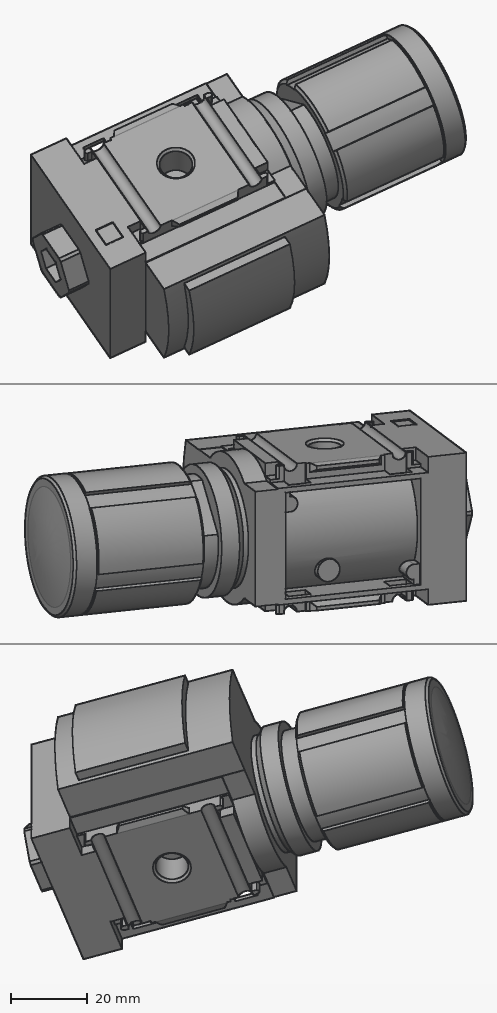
import cadquery as cq
import math


TOTAL_LENGTH = 115.5
PLUG_LENGTH = 5.9
PLATE_BACK = 16.5
FRAME_BACK = 58.3
FLANGE_BACK = 64.6
COLLAR_CONE_START = 66.0
COLLAR_START = 67.7
COLLAR_END = 72.6
KNOB_START = 77.5
CAP_START = 107.6
CAP_END = 114.1
FRAME_MID = (PLATE_BACK + FRAME_BACK) / 2

TOTAL_WIDTH = 57.0
BOX_WIDTH = 41.9
BOX_HEIGHT = 40.2
FRAME_HEIGHT = 31.6
FLANGE_HEIGHT = 31.2
HALF_WIDTH = BOX_WIDTH / 2
HALF_HEIGHT = BOX_HEIGHT / 2

PLUG_FLATS = 17.1
PLUG_CORNER_DIAMETER = 19.2
SOCKET_FLATS = 8.9
SOCKET_DEPTH = 8.1

BLOCK_WIDTH = 30.7
TAB_WIDTH = 23.1
WEB_OFFSET = 17.2
POCKET_FLOOR = 16.6
POST_WIDTH = 1.4
POST_LENGTH = 1.8
POST_CHAMFER = 0.6
GROOVE_RADIUS = 1.8
GROOVE_OFFSET = 15.1
PORT_DIAMETER = 8.5
PORT_CHAMFER = 0.7
PORT_DEPTH = 9.2

LIP_REACH = 1.8
LIP_ROOT_LENGTH = 19.9
LIP_TIP_LENGTH = 17.3
LIP_ROOT_DROP = 2.5
LIP_TIP_TOP_DROP = 0.5
LIP_TIP_BOTTOM_DROP = 1.5

WINDOW_LENGTH = 37.5
WINDOW_HEIGHT = 28.9
BOWL_RADIUS = 18.7
BUTTON_DIAMETER = 6.1
BUTTON_Y = 43.3
BUTTON_Z = -8.5
BOSS_RADIUS = 2.1
BOSS_OFFSET_Y = 17.2
BOSS_OFFSET_Z = 11.0
BOSS_FACE = -20.2

SLOT_OUTER = -18.8
SLOT_INNER = -14.8
SLOT_FAR_END = 17.1
SLOT_NEAR_END = 11.0

LABEL_X = 11.0
LABEL_Y = 11.3
LABEL_WIDTH = 5.4
LABEL_LENGTH = 5.1
LABEL_DEPTH = 0.3

GAUGE_HEIGHT = 31.0
GAUGE_EDGE = 30.6
GAUGE_CROWN = 33.1
COVER_LENGTH = 30.1
COVER_HEIGHT = 28.9
COVER_EDGE = 33.6
COVER_CROWN = TOTAL_WIDTH - HALF_WIDTH

NECK_RADIUS = 15.0
NECK_FLAT_DISTANCE = 12.6
NECK_FLAT_TURN = 45.0
COLLAR_DIAMETER = 35.0
COLLAR_RADIUS = COLLAR_DIAMETER / 2
THROAT_RADIUS = 15.8

KNOB_RADIUS = 18.6
GRIP_CHAMFER = 0.7
GRIP_CHAMFER_DEPTH = 0.9
CAP_CHAMFER = 0.7
CAP_UNDERCUT = 0.2
CAP_UNDERCUT_HEIGHT = 0.5
DOME_RADIUS = 15.8
GROOVE_COUNT = 5
KNOB_GROOVE_WIDTH = 5.2
KNOB_GROOVE_DEPTH = 1.3
FIRST_GROOVE_ANGLE = 36.0


def box_between(x0, x1, y0, y1, z0, z1):
    """Axis-aligned block given by its limits."""
    return cq.Workplane("XY").box(x1 - x0, y1 - y0, z1 - z0, centered=False).translate((x0, y0, z0))


def bar(width, height, y0, y1):
    """Rectangular bar centred on the axis."""
    return box_between(-width / 2, width / 2, y0, y1, -height / 2, height / 2)


def rod(radius, y0, y1):
    """Cylinder along the axis."""
    return cq.Workplane("XZ", origin=(0, y0, 0)).circle(radius).extrude(y0 - y1)


def hexagon(flats, y0, y1):
    """Hexagonal prism along the axis, with flats at top and bottom."""
    corner_diameter = flats / math.cos(math.radians(30))
    return cq.Workplane("XZ", origin=(0, y0, 0)).polygon(6, corner_diameter).extrude(y0 - y1)


def revolve_outline(outline):
    """Close an outline and turn it about the vertical axis of its own workplane."""
    return outline.close().revolve(360, (0, 0, 0), (0, 1, 0))


def both_faces(part):
    """A part and its copy on the opposite (-Z) face."""
    return part.union(part.mirror("XY"))


def both_sides(part):
    """A part and its copy on the opposite (+X) side."""
    return part.union(part.mirror("YZ"))


def both_ends(part):
    """A part and its copy at the other end of the frame."""
    return part.union(part.mirror("XZ", (0, FRAME_MID, 0)))


def plug():
    body = hexagon(PLUG_FLATS, 0, PLUG_LENGTH).intersect(rod(PLUG_CORNER_DIAMETER / 2, 0, PLUG_LENGTH))
    return body.cut(hexagon(SOCKET_FLATS, 0, SOCKET_DEPTH))


def end_plate():
    plate = bar(BOX_WIDTH, BOX_HEIGHT, PLUG_LENGTH, PLATE_BACK)
    label = cq.Workplane("XY").box(LABEL_WIDTH, LABEL_LENGTH, 2 * LABEL_DEPTH)
    return plate.cut(label.translate((LABEL_X, LABEL_Y, HALF_HEIGHT)))


def flange():
    flat_part = bar(BOX_WIDTH, FLANGE_HEIGHT, FRAME_BACK, FLANGE_BACK)
    return flat_part.union(rod(HALF_HEIGHT, FRAME_BACK, FLANGE_BACK))


def lip():
    """Tapered lip on the -X edge of the upper port block."""
    root_x = -BLOCK_WIDTH / 2
    tip_x = root_x - LIP_REACH
    profile = (
        cq.Workplane("XZ", origin=(0, FRAME_MID + LIP_ROOT_LENGTH / 2, 0))
        .moveTo(root_x, HALF_HEIGHT)
        .lineTo(tip_x, HALF_HEIGHT - LIP_TIP_TOP_DROP)
        .lineTo(tip_x, HALF_HEIGHT - LIP_TIP_BOTTOM_DROP)
        .lineTo(root_x, HALF_HEIGHT - LIP_ROOT_DROP)
        .close()
        .extrude(LIP_ROOT_LENGTH)
    )
    plan = (
        cq.Workplane("XY")
        .moveTo(root_x, FRAME_MID - LIP_ROOT_LENGTH / 2)
        .lineTo(tip_x, FRAME_MID - LIP_TIP_LENGTH / 2)
        .lineTo(tip_x, FRAME_MID + LIP_TIP_LENGTH / 2)
        .lineTo(root_x, FRAME_MID + LIP_ROOT_LENGTH / 2)
        .close()
        .extrude(HALF_HEIGHT)
    )
    return profile.intersect(plan)


def corner_pocket():
    """Pocket at one corner of the upper port block, with a bevelled post left standing."""
    edge_x = -BLOCK_WIDTH / 2
    web_y = FRAME_MID + WEB_OFFSET
    pocket = box_between(edge_x, -TAB_WIDTH / 2, web_y, FRAME_BACK, POCKET_FLOOR, HALF_HEIGHT)
    post = box_between(edge_x, edge_x + POST_WIDTH, web_y, web_y + POST_LENGTH, POCKET_FLOOR, HALF_HEIGHT)
    post = post.edges("|Z and >Y").chamfer(POST_CHAMFER)
    return pocket.cut(post)


def cross_groove():
    """Half-round groove along X across the top of a port block."""
    centre = (-HALF_WIDTH, FRAME_MID + GROOVE_OFFSET, HALF_HEIGHT)
    return cq.Workplane("YZ", origin=centre).circle(GROOVE_RADIUS).extrude(BOX_WIDTH)


def port():
    """Blind port with a chamfered mouth."""
    radius = PORT_DIAMETER / 2
    outline = (
        cq.Workplane("XZ", origin=(0, FRAME_MID, 0))
        .moveTo(0, HALF_HEIGHT)
        .lineTo(radius + PORT_CHAMFER, HALF_HEIGHT)
        .lineTo(radius, HALF_HEIGHT - PORT_CHAMFER)
        .lineTo(radius, HALF_HEIGHT - PORT_DEPTH)
        .lineTo(0, HALF_HEIGHT - PORT_DEPTH)
    )
    return revolve_outline(outline)


def port_blocks():
    blocks = bar(BLOCK_WIDTH, BOX_HEIGHT, PLATE_BACK, FRAME_BACK)
    blocks = blocks.cut(both_faces(both_sides(both_ends(corner_pocket()))))
    blocks = blocks.cut(both_faces(both_ends(cross_groove())))
    return blocks.union(both_faces(both_sides(lip())))


def boss():
    """Round-nosed boss in the upper back corner of the window."""
    y = FRAME_MID + BOSS_OFFSET_Y
    window_end = FRAME_MID + WINDOW_LENGTH / 2
    root_x = -BOWL_RADIUS / 2
    nose = (
        cq.Workplane("YZ", origin=(BOSS_FACE, y, BOSS_OFFSET_Z))
        .circle(BOSS_RADIUS)
        .extrude(root_x - BOSS_FACE)
    )
    heel = box_between(BOSS_FACE, root_x, y, window_end, BOSS_OFFSET_Z - BOSS_RADIUS, WINDOW_HEIGHT / 2)
    return nose.union(heel)


def window():
    """Opening in the -X side, leaving the bowl, its button and two bosses standing."""
    y0 = FRAME_MID - WINDOW_LENGTH / 2
    y1 = FRAME_MID + WINDOW_LENGTH / 2
    opening = box_between(-HALF_WIDTH, 0, y0, y1, -WINDOW_HEIGHT / 2, WINDOW_HEIGHT / 2)
    button = (
        cq.Workplane("YZ", origin=(-BOWL_RADIUS, BUTTON_Y, BUTTON_Z))
        .circle(BUTTON_DIAMETER / 2)
        .extrude(BOWL_RADIUS)
    )
    back_boss = boss()
    front_boss = back_boss.rotate((0, FRAME_MID, 0), (1, FRAME_MID, 0), 180)
    return opening.cut(rod(BOWL_RADIUS, y0, y1)).cut(button).cut(back_boss).cut(front_boss)


def wall_slot():
    """Slot through the upper frame wall into the window, notching the port block."""
    y0 = FRAME_MID + SLOT_NEAR_END
    y1 = FRAME_MID + SLOT_FAR_END
    return box_between(SLOT_OUTER, SLOT_INNER, y0, y1, WINDOW_HEIGHT / 2, HALF_HEIGHT)


def curved_slab(x_back, x_edge, x_crown, height, y0, y1):
    """Slab whose +X face bulges from its long edges to a crown."""
    return (
        cq.Workplane("XZ", origin=(0, y1, 0))
        .moveTo(x_back, -height / 2)
        .lineTo(x_edge, -height / 2)
        .threePointArc((x_crown, 0), (x_edge, height / 2))
        .lineTo(x_back, height / 2)
        .close()
        .extrude(y1 - y0)
    )


def gauge_block():
    block = curved_slab(HALF_WIDTH, GAUGE_EDGE, GAUGE_CROWN, GAUGE_HEIGHT, PLATE_BACK, FLANGE_BACK)
    y0 = FRAME_MID - COVER_LENGTH / 2
    cover = curved_slab(HALF_WIDTH, COVER_EDGE, COVER_CROWN, COVER_HEIGHT, y0, y0 + COVER_LENGTH)
    return block.union(cover)


def collar():
    outline = (
        cq.Workplane("XY")
        .moveTo(0, FLANGE_BACK)
        .lineTo(THROAT_RADIUS, FLANGE_BACK)
        .lineTo(THROAT_RADIUS, COLLAR_CONE_START)
        .lineTo(COLLAR_RADIUS, COLLAR_START)
        .lineTo(COLLAR_RADIUS, COLLAR_END)
        .lineTo(0, COLLAR_END)
    )
    return revolve_outline(outline)


def neck():
    """Round neck with one wrench flat facing -X and +Z."""
    barrel = rod(NECK_RADIUS, COLLAR_END, KNOB_START)
    beyond_flat = box_between(
        -2 * NECK_RADIUS, -NECK_FLAT_DISTANCE, COLLAR_END, KNOB_START, -NECK_RADIUS, NECK_RADIUS
    )
    return barrel.cut(beyond_flat.rotate((0, 0, 0), (0, 1, 0), NECK_FLAT_TURN))


def make_housing():
    frame = bar(BOX_WIDTH, FRAME_HEIGHT, PLATE_BACK, FRAME_BACK)
    housing = frame.union(port_blocks())
    housing = housing.cut(both_faces(port()))
    housing = housing.cut(window())
    housing = housing.cut(both_faces(both_ends(wall_slot())))
    for part in (plug(), end_plate(), flange(), gauge_block(), collar(), neck()):
        housing = housing.union(part)
    return housing


def knob_blank():
    """Turned shape of the knob: grip, cap and domed end."""
    outline = (
        cq.Workplane("XY")
        .moveTo(0, KNOB_START)
        .lineTo(KNOB_RADIUS - GRIP_CHAMFER_DEPTH, KNOB_START)
        .lineTo(KNOB_RADIUS, KNOB_START + GRIP_CHAMFER)
        .lineTo(KNOB_RADIUS, CAP_START - CAP_UNDERCUT_HEIGHT)
        .lineTo(KNOB_RADIUS - CAP_UNDERCUT, CAP_START - CAP_UNDERCUT_HEIGHT)
        .lineTo(KNOB_RADIUS - CAP_UNDERCUT, CAP_START)
        .lineTo(KNOB_RADIUS, CAP_START)
        .lineTo(KNOB_RADIUS, CAP_END - CAP_CHAMFER)
        .lineTo(KNOB_RADIUS - CAP_CHAMFER, CAP_END)
        .lineTo(DOME_RADIUS, CAP_END)
    )
    rise = TOTAL_LENGTH - CAP_END
    sphere_radius = (DOME_RADIUS ** 2 + rise ** 2) / (2 * rise)
    mid_radius = DOME_RADIUS / 2
    mid_y = TOTAL_LENGTH - sphere_radius + math.sqrt(sphere_radius ** 2 - mid_radius ** 2)
    return revolve_outline(outline.threePointArc((mid_radius, mid_y), (0, TOTAL_LENGTH)))


def knob_groove():
    """Groove at the top of the grip, with a floor concentric with the grip."""
    channel = box_between(
        -KNOB_GROOVE_WIDTH / 2, KNOB_GROOVE_WIDTH / 2, KNOB_START, CAP_START, 0, 2 * KNOB_RADIUS
    )
    return channel.cut(rod(KNOB_RADIUS - KNOB_GROOVE_DEPTH, KNOB_START, CAP_START))


def make_knob():
    knob = knob_blank()
    for index in range(GROOVE_COUNT):
        angle = FIRST_GROOVE_ANGLE + index * 360 / GROOVE_COUNT
        knob = knob.cut(knob_groove().rotate((0, 0, 0), (0, 1, 0), angle))
    return knob


housing = make_housing()
knob = make_knob()

result = cq.Compound.makeCompound([housing.val(), knob.val()])